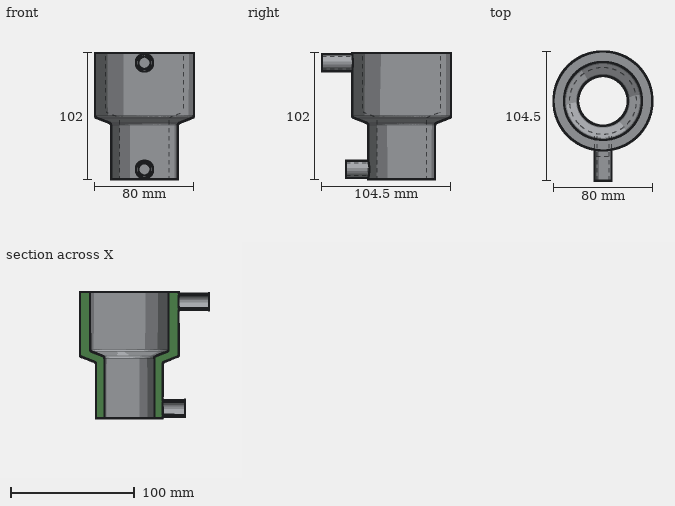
import cadquery as cq
import math

total_height = 102.0
cup_radius = 40.0
cup_bore_radius = 31.5
neck_radius = 27.0
neck_bore_radius = 20.0

shoulder_bottom_z = 45.0
shoulder_top_z = 50.0
shoulder_fillet = 2.0

shoulder_wall = neck_radius - neck_bore_radius
shoulder_slope = (shoulder_top_z - shoulder_bottom_z) / (cup_radius - neck_radius)
wall_rise = shoulder_wall / math.cos(math.atan(shoulder_slope))
bore_cone_bottom_z = shoulder_bottom_z + wall_rise - shoulder_slope * (neck_radius - neck_bore_radius)
bore_cone_top_z = bore_cone_bottom_z + shoulder_slope * (cup_bore_radius - neck_bore_radius)

pipe_radius = 7.0
pipe_bore_radius = 5.0
pipe_end_offset = 8.0
upper_pipe_reach = 64.5
lower_pipe_reach = 45.0


def stepped_round(lower_radius, upper_radius, cone_bottom_z, cone_top_z):
    """Two solid cylinders joined by a cone, with both cone edges rounded."""
    profile = (
        cq.Workplane("XZ")
        .lineTo(lower_radius, 0)
        .lineTo(lower_radius, cone_bottom_z)
        .lineTo(upper_radius, cone_top_z)
        .lineTo(upper_radius, total_height)
        .lineTo(0, total_height)
        .close()
    )
    solid = profile.revolve(360, (0, 0, 0), (0, 1, 0))
    cone_edges = solid.faces("%CONE").edges("%CIRCLE")
    return cone_edges.fillet(shoulder_fillet)


def rod_from_axis(radius, reach, z):
    """Round rod from the sleeve axis out to Y = -reach."""
    return cq.Workplane("XZ").center(0, z).circle(radius).extrude(reach)


def hose_pipe(reach, z):
    """Tube from the sleeve axis out to Y = -reach."""
    outside = rod_from_axis(pipe_radius, reach, z)
    bore = rod_from_axis(pipe_bore_radius, reach, z)
    return outside.cut(bore)


outer_body = stepped_round(neck_radius, cup_radius, shoulder_bottom_z, shoulder_top_z)
inner_bore = stepped_round(neck_bore_radius, cup_bore_radius, bore_cone_bottom_z, bore_cone_top_z)

upper_pipe = hose_pipe(upper_pipe_reach, total_height - pipe_end_offset)
lower_pipe = hose_pipe(lower_pipe_reach, pipe_end_offset)

result = outer_body.union(upper_pipe).union(lower_pipe).cut(inner_bore)